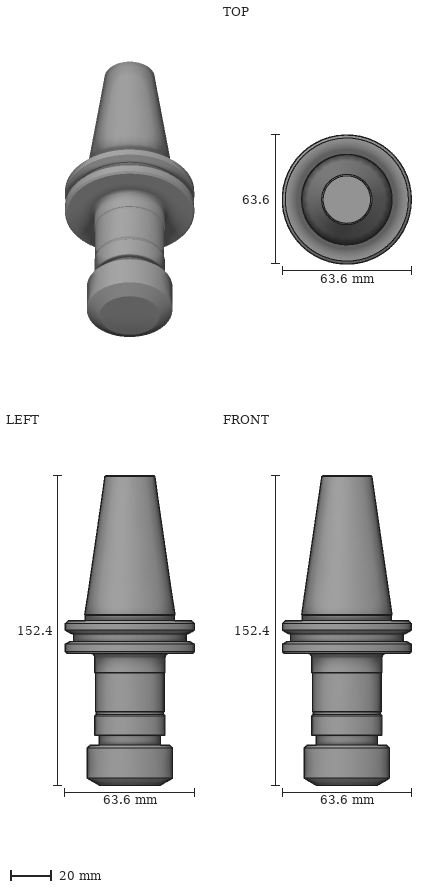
import cadquery as cq

total_height = 152.4
nut_height = 20.0
collar_bottom = 24.7
collar_top = 34.9
shank_bottom = 36.1
shoulder_bottom = 55.3
flange_bottom = 64.9
flange_top = 81.1
taper_base = 84.0

nut_radius = 21.0
nut_face_radius = 14.8
nut_cone_height = 3.7
nut_chamfer = 1.5

edge_break = 0.3

neck_radius = 15.1
collar_radius = 17.4
shank_radius = 16.9
collar_top_chamfer = 0.6
relief_radius = 16.6
flange_fillet = 1.8

flange_radius = 31.78
flange_top_chamfer = 1.5
flange_bottom_chamfer = 0.9
groove_radius = 27.7
lower_rim_top = 69.5
lower_lip_radius = 29.4
groove_bottom = 70.9
upper_lip_radius = 28.5
groove_top = 74.5
upper_rim_bottom = 76.4

taper_radius = 22.3
taper_relief_radius = 22.0
taper_rate = 7 / 24
taper_chamfer = 0.6


def disc(radius, bottom, top):
    """Cylinder on the tool axis between two heights."""
    return cq.Workplane("XY").workplane(offset=bottom).circle(radius).extrude(top - bottom)


def revolve_profile(points):
    """Revolve a (radius, height) outline about the tool axis."""
    return cq.Workplane("XZ").polyline(points).close().revolve(360, (0, 0, 0), (0, 1, 0))


def make_nut():
    """Cap nut with a conical lower end and a chamfered upper rim."""
    return revolve_profile([
        (0, 0),
        (nut_face_radius, 0),
        (nut_radius, nut_cone_height),
        (nut_radius, nut_height - nut_chamfer),
        (nut_radius - nut_chamfer, nut_height),
        (0, nut_height),
    ])


def make_shank():
    """Stepped shank: neck, collar, relief groove, plain length and shoulder."""
    neck = disc(neck_radius, nut_height, collar_bottom)
    collar = disc(collar_radius, collar_bottom, collar_top)
    collar = collar.faces("<Z").edges().chamfer(edge_break)
    collar = collar.faces(">Z").edges().chamfer(collar_top_chamfer)
    relief = disc(relief_radius, collar_top, shank_bottom)
    shank = disc(shank_radius, shank_bottom, shoulder_bottom).faces("<Z").edges().chamfer(edge_break)
    shoulder = disc(collar_radius, shoulder_bottom, flange_bottom).faces("<Z").edges().chamfer(edge_break)
    return neck.union(collar).union(relief).union(shank).union(shoulder)


def make_flange():
    """Flange whose groove has sloped lips above and below a flat floor."""
    return revolve_profile([
        (0, flange_bottom),
        (flange_radius - flange_bottom_chamfer, flange_bottom),
        (flange_radius, flange_bottom + flange_bottom_chamfer),
        (flange_radius, lower_rim_top),
        (lower_lip_radius, groove_bottom),
        (groove_radius, groove_bottom),
        (groove_radius, groove_top),
        (upper_lip_radius, groove_top),
        (flange_radius, upper_rim_bottom),
        (flange_radius, flange_top - flange_top_chamfer),
        (flange_radius - flange_top_chamfer, flange_top),
        (0, flange_top),
    ])


def make_flange_fillet():
    """Concave ring blending the shoulder into the flange underside."""
    fillet_bottom = flange_bottom - flange_fillet
    outer_radius = collar_radius + flange_fillet
    return (
        cq.Workplane("XZ")
        .moveTo(collar_radius, fillet_bottom)
        .radiusArc((outer_radius, flange_bottom), flange_fillet)
        .lineTo(0, flange_bottom)
        .lineTo(0, fillet_bottom)
        .close()
        .revolve(360, (0, 0, 0), (0, 1, 0))
    )


def make_taper():
    """Steep taper standing on a slightly smaller cylindrical relief."""
    top_radius = taper_radius - taper_rate / 2 * (total_height - taper_base)
    relief = disc(taper_relief_radius, flange_top, taper_base - edge_break)
    cone = revolve_profile([
        (0, taper_base - edge_break),
        (taper_relief_radius, taper_base - edge_break),
        (taper_radius, taper_base),
        (top_radius, total_height),
        (0, total_height),
    ])
    return relief.union(cone.faces(">Z").edges().chamfer(taper_chamfer))


def make_holder():
    """Complete tool holder as one solid, resting on the nut."""
    return make_shank().union(make_flange_fillet()).union(make_flange()).union(make_taper())


nut = make_nut()
holder = make_holder()
result = cq.Compound.makeCompound([holder.val(), nut.val()])